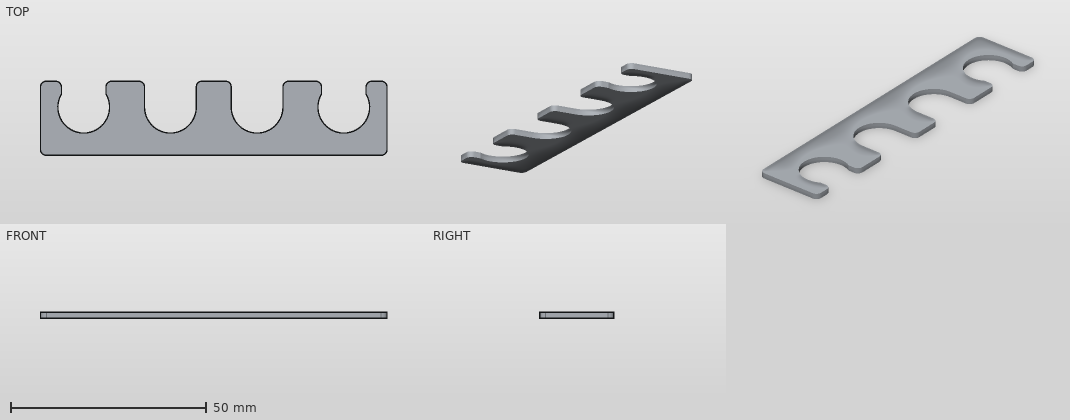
import cadquery as cq

length = 88.9
width = 19.05
thickness = 1.57
corner_radius = 1.524

slot_count = 4
slot_pitch = length / slot_count
slot_diameter = 13.2
slot_center_height = 12.35
neck_width = 11.35

front_edge = -width / 2
back_edge = width / 2
slot_center_y = front_edge + slot_center_height


def slot_cutter(center_x, mouth_width):
    """Round seat joined to a straight mouth that runs out through the +Y edge."""
    mouth_length = back_edge - slot_center_y
    seat = (
        cq.Workplane("XY")
        .center(center_x, slot_center_y)
        .circle(slot_diameter / 2)
        .extrude(thickness)
    )
    mouth = (
        cq.Workplane("XY")
        .center(center_x, slot_center_y + mouth_length / 2)
        .rect(mouth_width, mouth_length)
        .extrude(thickness)
    )
    return seat.union(mouth)


def slotted_plate():
    plate = cq.Workplane("XY").box(length, width, thickness, centered=(True, True, False))
    for index in range(slot_count):
        center_x = (index - (slot_count - 1) / 2) * slot_pitch
        is_end_slot = index in (0, slot_count - 1)
        mouth_width = neck_width if is_end_slot else slot_diameter
        plate = plate.cut(slot_cutter(center_x, mouth_width))
    return plate


def round_corners(plate):
    """Round the plate corners and the lips of every slot mouth."""
    back_corners = plate.faces(">Y").edges("|Z")
    front_corners = plate.faces("<Y").edges("|Z")
    return plate.newObject(back_corners.vals() + front_corners.vals()).fillet(corner_radius)


result = round_corners(slotted_plate())